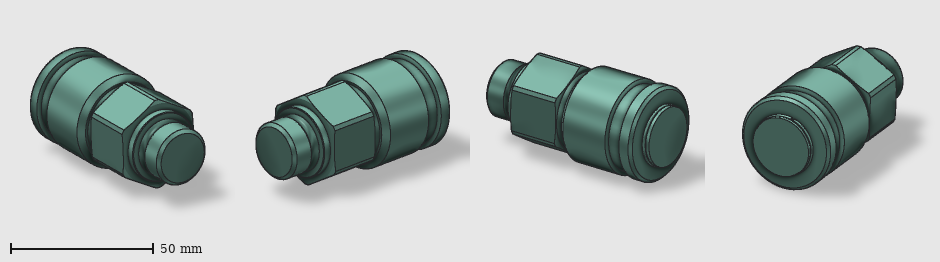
import cadquery as cq
import math

overall_length = 73.0

nose_diameter = 22.1
nose_end_x = 1.7
ring_floor_diameter = 20.6
ring_outer_diameter = 22.9
ring_gap_width = 1.0
ring_gap_tilt = 18.3

sleeve_diameter = 35.2
sleeve_start_x = 3.2
sleeve_end_x = 35.25
front_chamfer = 1.1
groove_diameter = 32.0
groove_start_x = 8.3
groove_end_x = 14.5
groove_wall_run = 0.45
rear_chamfer = 2.2

neck_diameter = 29.0

hex_start_x = 38.2
hex_end_x = 57.95
hex_across_flats = 30.1
hex_corner_diameter = 33.8
hex_face_diameter = 30.65
hex_chamfer_length = 0.45
hex_turn = 1.5

collar_diameter = 26.0
collar_end_x = 61.0
collar_chamfer = 0.3
spigot_diameter = 20.95
spigot_chamfer = 1.25
undercut_diameter = 18.4
undercut_radius = 1.7
undercut_centre_x = 63.1


def turned(points):
    """Revolve a closed profile of (x, radius) points about the X axis."""
    return cq.Workplane("XY").polyline(points).close().revolve(360, (0, 0, 0), (1, 0, 0))


def make_sleeve():
    radius = sleeve_diameter / 2
    groove_radius = groove_diameter / 2
    return turned([
        (sleeve_start_x, 0),
        (sleeve_start_x, radius - front_chamfer),
        (sleeve_start_x + front_chamfer, radius),
        (groove_start_x, radius),
        (groove_start_x + groove_wall_run, groove_radius),
        (groove_end_x - groove_wall_run, groove_radius),
        (groove_end_x, radius),
        (sleeve_end_x - rear_chamfer, radius),
        (sleeve_end_x, radius - rear_chamfer),
        (sleeve_end_x, 0),
    ])


def make_nose():
    nose = cq.Workplane("YZ").circle(nose_diameter / 2).extrude(nose_end_x)
    ring_floor = cq.Workplane("YZ").circle(ring_floor_diameter / 2).extrude(sleeve_start_x)
    return nose.union(ring_floor)


def make_snap_ring():
    floor_radius = ring_floor_diameter / 2
    outer_radius = ring_outer_diameter / 2
    wire_radius = (sleeve_start_x - nose_end_x) / 2
    wire_centre_radius = outer_radius - wire_radius
    gap_angle = math.degrees(ring_gap_width / outer_radius)
    ring = (
        cq.Workplane("XZ")
        .moveTo(nose_end_x, floor_radius)
        .lineTo(nose_end_x, wire_centre_radius)
        .threePointArc(
            (nose_end_x + wire_radius, outer_radius),
            (sleeve_start_x, wire_centre_radius),
        )
        .lineTo(sleeve_start_x, floor_radius)
        .close()
        .revolve(360 - gap_angle, (0, 0, 0), (1, 0, 0))
    )
    return ring.rotate((0, 0, 0), (1, 0, 0), ring_gap_tilt + gap_angle / 2)


def make_neck():
    return (
        cq.Workplane("YZ", origin=(sleeve_end_x, 0, 0))
        .circle(neck_diameter / 2)
        .extrude(hex_start_x - sleeve_end_x)
    )


def make_hexagon():
    corner_radius = hex_corner_diameter / 2
    face_radius = hex_face_diameter / 2
    sharp_corner_diameter = hex_across_flats / math.cos(math.radians(30))
    prism = (
        cq.Workplane("YZ", origin=(hex_start_x, 0, 0))
        .polygon(6, sharp_corner_diameter)
        .extrude(hex_end_x - hex_start_x)
        .rotate((0, 0, 0), (1, 0, 0), 90 + hex_turn)
    )
    turned_envelope = turned([
        (hex_start_x, 0),
        (hex_start_x, face_radius),
        (hex_start_x + hex_chamfer_length, corner_radius),
        (hex_end_x - hex_chamfer_length, corner_radius),
        (hex_end_x, face_radius),
        (hex_end_x, 0),
    ])
    return prism.intersect(turned_envelope)


def make_spigot():
    collar_radius = collar_diameter / 2
    spigot_radius = spigot_diameter / 2
    undercut_floor = undercut_diameter / 2
    arc_centre_radius = undercut_floor + undercut_radius
    tangent_offset = undercut_radius * math.sin(math.radians(45))
    cone_end_x = undercut_centre_x - tangent_offset
    cone_end_radius = arc_centre_radius - tangent_offset
    cone_start_radius = cone_end_radius + (cone_end_x - collar_end_x)
    arc_end_x = undercut_centre_x + math.sqrt(
        undercut_radius**2 - (arc_centre_radius - spigot_radius) ** 2
    )
    return (
        cq.Workplane("XY")
        .moveTo(hex_end_x, 0)
        .lineTo(hex_end_x, collar_radius)
        .lineTo(collar_end_x - collar_chamfer, collar_radius)
        .lineTo(collar_end_x, collar_radius - collar_chamfer)
        .lineTo(collar_end_x, cone_start_radius)
        .lineTo(cone_end_x, cone_end_radius)
        .threePointArc((undercut_centre_x, undercut_floor), (arc_end_x, spigot_radius))
        .lineTo(overall_length - spigot_chamfer, spigot_radius)
        .lineTo(overall_length, spigot_radius - spigot_chamfer)
        .lineTo(overall_length, 0)
        .close()
        .revolve(360, (0, 0, 0), (1, 0, 0))
    )


result = (
    make_sleeve()
    .union(make_nose())
    .union(make_snap_ring())
    .union(make_neck())
    .union(make_hexagon())
    .union(make_spigot())
)